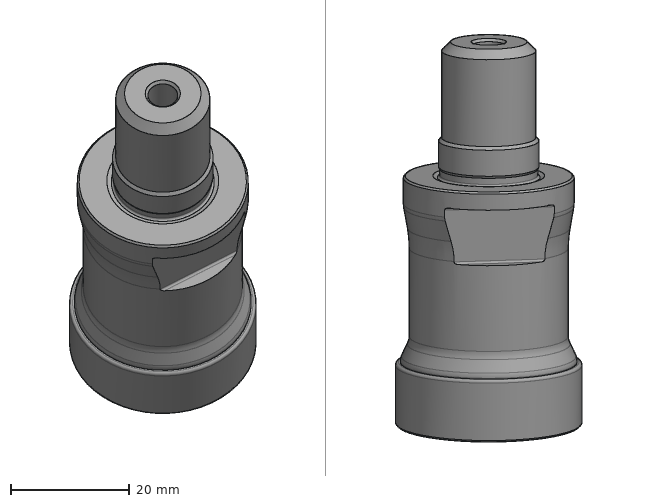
import cadquery as cq
import math

total_height = 66.0
base_diameter = 31.6

base_height = 10.75
base_top_round = 0.5
base_bottom_chamfer = 0.3

foot_diameter = 29.95
waist_diameter = 27.0
flange_diameter = 29.0
flange_top = 42.9
flange_chamfer = 0.3

foot_angle = math.radians(25)
foot_edge_radius = 2.0
foot_neck_radius = 3.25
waist_bottom = 15.25

flange_angle = math.radians(10)
flange_edge_radius = 3.95
flange_neck_radius = 20.0
waist_top = 30.5

shank_diameter = 16.0
shank_tip_chamfer = 1.5
collar_diameter = 17.0
collar_bottom = 44.5
collar_top = 49.5
collar_top_chamfer = 0.5
neck_diameter = 16.6
neck_chamfer_height = 0.4
neck_foot_radius = 0.4

recess_diameter = 18.95
recess_depth = 0.25

hole_diameter = 5.0
hole_rim_diameter = 5.95
hole_rim_depth = 0.45
hole_depth = 9.9
hole_tip_angle = math.radians(118)

flat_distance = 11.0
flat_direction = -40.0
flat_bottom = 30.0
flat_top = 39.8
flat_corner_radius = 0.4


def make_base():
    disc = cq.Workplane("XY").circle(base_diameter / 2).extrude(base_height)
    disc = disc.faces(">Z").edges().fillet(base_top_round)
    return disc.faces("<Z").edges().chamfer(base_bottom_chamfer)


def round_point(start_radius, start_z, bend_radius, angle, radial_sign, axial_sign):
    """Point (radius, z) on an arc that leaves a vertical line and has turned by the angle."""
    radius = start_radius + radial_sign * bend_radius * (1 - math.cos(angle))
    return radius, start_z + axial_sign * bend_radius * math.sin(angle)


def cone_run(radius_change, angle, first_bend, second_bend):
    """Height of a cone that joins two tangent rounds across the given change in radius."""
    cone_width = radius_change - (first_bend + second_bend) * (1 - math.cos(angle))
    return cone_width / math.tan(angle)


def transition_height(radius_change, angle, first_bend, second_bend):
    cone_height = cone_run(radius_change, angle, first_bend, second_bend)
    return cone_height + (first_bend + second_bend) * math.sin(angle)


def make_arbor_blank():
    foot_radius = foot_diameter / 2
    waist_radius = waist_diameter / 2
    flange_radius = flange_diameter / 2
    shank_radius = shank_diameter / 2
    collar_radius = collar_diameter / 2
    neck_radius = neck_diameter / 2
    recess_floor = flange_top - recess_depth

    foot_edge = waist_bottom - transition_height(
        foot_radius - waist_radius, foot_angle, foot_edge_radius, foot_neck_radius)
    flange_edge = waist_top + transition_height(
        flange_radius - waist_radius, flange_angle, flange_edge_radius, flange_neck_radius)

    def foot_round(angle):
        return round_point(foot_radius, foot_edge, foot_edge_radius, angle, -1, 1)

    def foot_neck(angle):
        return round_point(waist_radius, waist_bottom, foot_neck_radius, angle, 1, -1)

    def flange_neck(angle):
        return round_point(waist_radius, waist_top, flange_neck_radius, angle, 1, 1)

    def flange_round(angle):
        return round_point(flange_radius, flange_edge, flange_edge_radius, angle, -1, -1)

    def neck_foot(angle):
        return round_point(neck_radius, recess_floor + neck_foot_radius, neck_foot_radius, angle, 1, -1)

    profile = (
        cq.Workplane("XZ")
        .moveTo(0, base_height)
        .lineTo(foot_radius, base_height)
        .lineTo(foot_radius, foot_edge)
        .threePointArc(foot_round(foot_angle / 2), foot_round(foot_angle))
        .lineTo(*foot_neck(foot_angle))
        .threePointArc(foot_neck(foot_angle / 2), (waist_radius, waist_bottom))
        .lineTo(waist_radius, waist_top)
        .threePointArc(flange_neck(flange_angle / 2), flange_neck(flange_angle))
        .lineTo(*flange_round(flange_angle))
        .threePointArc(flange_round(flange_angle / 2), (flange_radius, flange_edge))
        .lineTo(flange_radius, flange_top - flange_chamfer)
        .lineTo(flange_radius - flange_chamfer, flange_top)
        .lineTo(recess_diameter / 2, flange_top)
        .lineTo(neck_radius + neck_foot_radius, recess_floor)
        .threePointArc(neck_foot(math.pi / 4), neck_foot(0))
        .lineTo(neck_radius, collar_bottom - neck_chamfer_height)
        .lineTo(collar_radius, collar_bottom)
        .lineTo(collar_radius, collar_top - collar_top_chamfer)
        .lineTo(shank_radius, collar_top)
        .lineTo(shank_radius, total_height - shank_tip_chamfer)
        .lineTo(shank_radius - shank_tip_chamfer, total_height)
        .lineTo(0, total_height)
        .close()
    )
    return profile.revolve(360, (0, 0, 0), (0, 1, 0))


def make_centre_hole():
    hole_radius = hole_diameter / 2
    hole_floor = total_height - hole_depth
    tip_depth = hole_radius / math.tan(hole_tip_angle / 2)
    profile = (
        cq.Workplane("XZ")
        .moveTo(0, total_height)
        .lineTo(hole_rim_diameter / 2, total_height)
        .lineTo(hole_radius, total_height - hole_rim_depth)
        .lineTo(hole_radius, hole_floor)
        .lineTo(0, hole_floor - tip_depth)
        .close()
    )
    return profile.revolve(360, (0, 0, 0), (0, 1, 0))


def make_flat_cutter(direction):
    """Block beyond one wrench flat, with its upper and lower inner edges rounded."""
    block = (
        cq.Workplane("XY", origin=(0, 0, flat_bottom))
        .center(flat_distance + base_diameter / 2, 0)
        .rect(base_diameter, base_diameter)
        .extrude(flat_top - flat_bottom)
        .faces("<X").edges("|Y")
        .fillet(flat_corner_radius)
    )
    return block.rotate((0, 0, 0), (0, 0, 1), direction)


def make_arbor():
    arbor = make_arbor_blank().cut(make_centre_hole())
    for half_turn in (0, 180):
        arbor = arbor.cut(make_flat_cutter(flat_direction + half_turn))
    return arbor


base = make_base()
arbor = make_arbor()
result = cq.Compound.makeCompound([base.val(), arbor.val()])